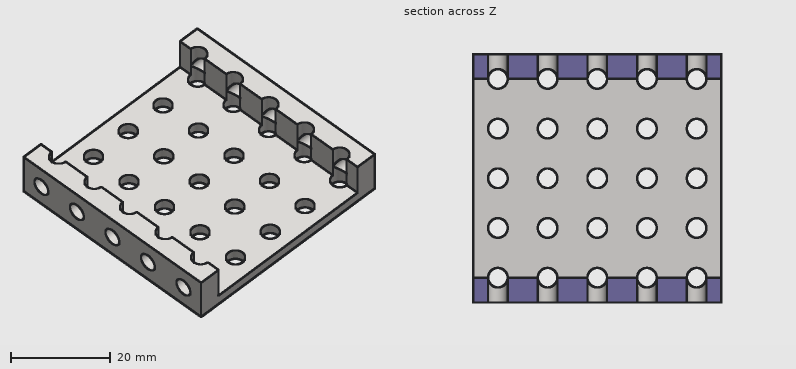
import cadquery as cq

pitch = 10.0
holes_per_side = 5
hole_diameter = 3.9
floor_thickness = 2.5

side = holes_per_side * pitch
height = pitch
wall_thickness = pitch / 2


def channel():
    """U-shaped channel running along X, centred in X and Y, base at Z = 0."""
    block = cq.Workplane("XY").box(side, side, height, centered=(True, True, False))
    trough = (
        cq.Workplane("XY")
        .workplane(offset=floor_thickness)
        .rect(side, side - 2 * wall_thickness)
        .extrude(height)
    )
    return block.cut(trough)


def vertical_holes():
    """Square grid of holes through the floor, half-cutting into the walls."""
    return (
        cq.Workplane("XY")
        .rarray(pitch, pitch, holes_per_side, holes_per_side)
        .circle(hole_diameter / 2)
        .extrude(height)
    )


def wall_holes():
    """Row of holes along Y through both walls, at mid-height."""
    return (
        cq.Workplane("XZ", origin=(0, 0, height / 2))
        .rarray(pitch, pitch, holes_per_side, 1)
        .circle(hole_diameter / 2)
        .extrude(side / 2, both=True)
    )


result = channel().cut(vertical_holes()).cut(wall_holes())